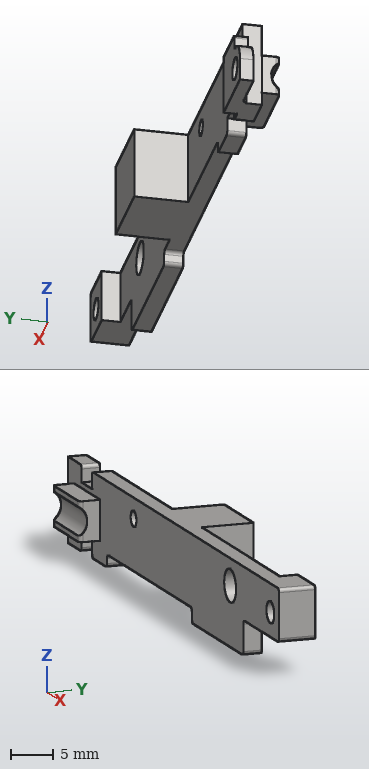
import cadquery as cq
import math

length = 77.7
depth = 11.5
height = 10.8

plate_front = 2.65
plate_back = 5.0
plate_left = 5.8
corner_radius = 0.5
foot_bottom = 0.3
waist_bottom = 1.9
foot_right = 19.2
lobe_left = 48.0
lobe_right = 65.6
arm_bottom = 4.3
notch_left = 10.6
notch_right = 14.1
notch_depth = 2.1

saddle_left = 7.9
saddle_right = 16.85
saddle_middle = 5.5
saddle_height = 5.0
groove_width = 3.5
groove_depth = 1.0

tab_right = 8.8
tab_back = 6.6
tab_top = 7.7
tab_step = 2.8
pivot_x = 2.7
pivot_z = 3.1
pivot_diameter = 2.7
joint_size = 0.5

block_left = 35.1
block_right = 45.15
end_block_left = 71.65
end_block_back = 7.2

plate_holes = [
    (28.2, 2.6, 1.95),
    (61.1, 3.35, 4.05),
    (74.75, 3.5, 2.65),
]


def box(x_min, x_max, y_min, y_max, z_min, z_max):
    """Box given by its limits."""
    size = (x_max - x_min, y_max - y_min, z_max - z_min)
    return cq.Workplane("XY").box(*size, centered=False).translate((x_min, y_min, z_min))


def from_front(y_front):
    """XZ workplane whose extrusions run toward -Y from y_front."""
    return cq.Workplane("XZ", origin=(0, y_front, 0))


def make_plate():
    outline = [
        (plate_left, foot_bottom),
        (notch_left, foot_bottom),
        (notch_left, foot_bottom + notch_depth),
        (notch_right, foot_bottom + notch_depth),
        (notch_right, foot_bottom),
        (foot_right, foot_bottom),
        (foot_right, waist_bottom),
        (lobe_left, waist_bottom),
        (lobe_left, 0),
        (lobe_right, 0),
        (lobe_right, arm_bottom),
        (length, arm_bottom),
        (length, height),
        (notch_right, height),
        (notch_right, height - notch_depth),
        (notch_left, height - notch_depth),
        (notch_left, height),
        (plate_left, height),
    ]
    plate = from_front(plate_back).polyline(outline).close().extrude(plate_back - plate_front)
    block = box(block_left, block_right, plate_back, depth, waist_bottom, height)
    end_block = box(end_block_left, length, plate_back, end_block_back, arm_bottom, height)
    body = plate.union(block).union(end_block)

    notch_floors = (foot_bottom + notch_depth, height - notch_depth)
    for x, z in outline:
        if x != plate_left and z not in notch_floors:
            corner = cq.selectors.BoxSelector(
                (x - 0.1, 0, z - 0.1), (x + 0.1, depth, z + 0.1)
            )
            body = body.edges("|Y").edges(corner).fillet(corner_radius)
    return body


def make_saddle():
    saddle = box(
        saddle_left, saddle_right, 0, plate_front,
        saddle_middle - saddle_height / 2, saddle_middle + saddle_height / 2,
    )
    saddle = saddle.faces("<Y").edges("|Z").fillet(corner_radius)
    groove_radius = ((groove_width / 2) ** 2 + groove_depth ** 2) / (2 * groove_depth)
    groove = (
        cq.Workplane("YZ", origin=(saddle_left, 0, 0))
        .center(groove_depth - groove_radius, saddle_middle)
        .circle(groove_radius)
        .extrude(saddle_right - saddle_left)
    )
    return saddle.cut(groove)


def make_tab():
    arc_radius = pivot_x
    arc_middle = arc_radius * math.sqrt(0.5)
    tab = (
        from_front(tab_back)
        .moveTo(0, foot_bottom)
        .lineTo(tab_right, foot_bottom)
        .lineTo(tab_right, tab_top)
        .lineTo(tab_step + corner_radius, tab_top)
        .radiusArc((tab_step, tab_top - corner_radius), -corner_radius)
        .lineTo(tab_step, pivot_z + arc_radius)
        .lineTo(pivot_x, pivot_z + arc_radius)
        .threePointArc((pivot_x - arc_middle, pivot_z + arc_middle), (0, pivot_z))
        .close()
        .extrude(tab_back - plate_back)
    )
    bevel = (
        cq.Workplane("XY", origin=(0, 0, foot_bottom))
        .polyline([
            (plate_left - joint_size, plate_back),
            (plate_left, plate_back),
            (plate_left, plate_back - joint_size),
        ])
        .close()
        .extrude(tab_top - foot_bottom)
    )
    relief = box(
        plate_left, tab_right, plate_back, plate_back + joint_size, tab_top - joint_size, tab_top
    )
    return tab.union(bevel).cut(relief)


def hole(x, z, diameter):
    """Round hole along Y through the whole part."""
    return from_front(depth).center(x, z).circle(diameter / 2).extrude(depth)


result = make_plate().union(make_saddle()).union(make_tab())
result = result.cut(hole(pivot_x, pivot_z, pivot_diameter))
for hole_x, hole_drop, hole_diameter in plate_holes:
    result = result.cut(hole(hole_x, height - hole_drop, hole_diameter))